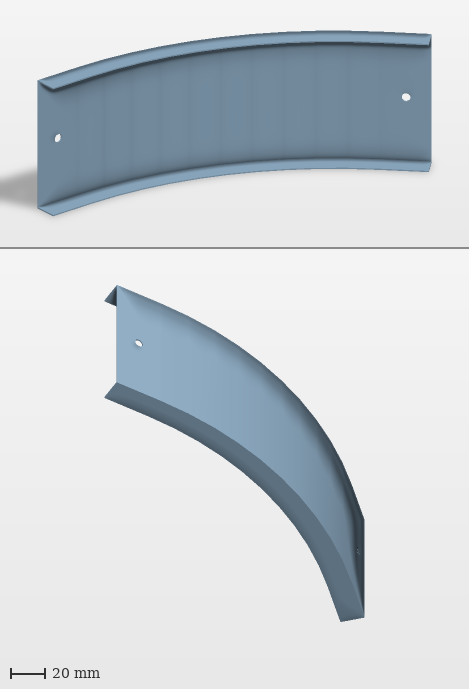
import cadquery as cq
import math

overall_length = 221.5
height = 82.0
flange_width = 14.6
thickness = 0.8
straight_length = 30.0
hole_diameter = 5.0
bend_angle = 45.0

sin_bend = math.sin(math.radians(bend_angle))
cos_bend = math.cos(math.radians(bend_angle))
outer_radius = (overall_length - straight_length * (1 + cos_bend)) / sin_bend
flange_height = height - 2 * thickness
cutter_length = 4 * thickness


def path_point(offset, angle, run=0.0):
    """Point inside the outer face by offset, at a bend angle, then run along the tangent."""
    a = math.radians(angle)
    radius = outer_radius - offset
    x = outer_radius - radius * math.cos(a) + run * math.sin(a)
    y = straight_length + radius * math.sin(a) + run * math.cos(a)
    return (x, y)


def curved_strip(near, far, depth):
    """Plate along the channel between two offsets from the outer face, centred on Z = 0."""
    return (
        cq.Workplane("XY")
        .workplane(offset=-depth / 2)
        .moveTo(*path_point(near, 0, -straight_length))
        .lineTo(*path_point(near, 0))
        .threePointArc(path_point(near, bend_angle / 2), path_point(near, bend_angle))
        .lineTo(*path_point(near, bend_angle, straight_length))
        .lineTo(*path_point(far, bend_angle, straight_length))
        .lineTo(*path_point(far, bend_angle))
        .threePointArc(path_point(far, bend_angle / 2), path_point(far, 0))
        .lineTo(*path_point(far, 0, -straight_length))
        .close()
        .extrude(depth)
    )


def web_hole(angle, run):
    """Cutter through the web, square to its face."""
    x, y = path_point(-thickness, angle, run)
    a = math.radians(angle)
    inward = cq.Vector(math.cos(a), -math.sin(a), 0)
    return cq.Solid.makeCylinder(hole_diameter / 2, cutter_length, cq.Vector(x, y, 0), inward)


channel = curved_strip(0, flange_width, height)
channel = channel.cut(curved_strip(thickness, flange_width, flange_height))

for angle, run in ((0, -straight_length / 2), (bend_angle, straight_length / 2)):
    channel = channel.cut(cq.Workplane(obj=web_hole(angle, run)))

result = channel